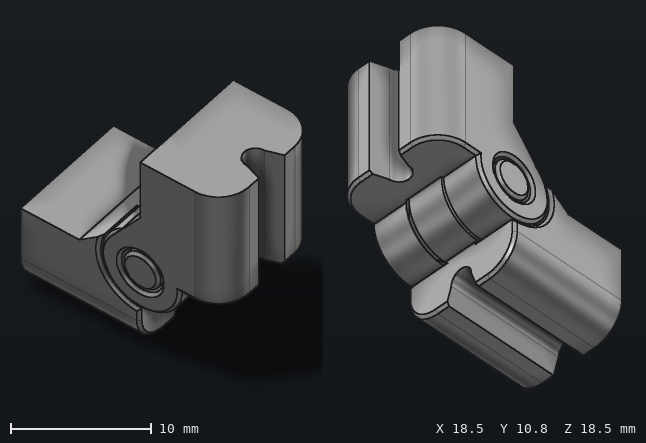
import cadquery as cq
import math


WIDTH = 10.8
LEAF_LENGTH = 10.8
LEAF_THICKNESS = 7.65
AXIS_GAP = 0.05
CORNER_RADIUS = 2.77
EDGE_CHAMFER = 0.25

NOTCH_MOUTH = 2.99
NOTCH_DEPTH = 2.47
NOTCH_RADIUS = 1.0

LOWER_RAMP_START = 5.48
UPPER_RAMP_START = 5.35

PIN_DIAMETER = 3.3
HOLE_DIAMETER = 3.75
PIN_CLEARANCE = (HOLE_DIAMETER - PIN_DIAMETER) / 2

OUTER_KNUCKLE_RADIUS = 3.58
SOCKET_RADIUS = 3.75
CENTER_KNUCKLE_RADIUS = SOCKET_RADIUS - PIN_CLEARANCE
CENTER_RIM_HALF_WIDTH = 1.65
KNUCKLE_FACE_RADIUS = OUTER_KNUCKLE_RADIUS - EDGE_CHAMFER

KNUCKLE_CONE = CENTER_KNUCKLE_RADIUS + CENTER_RIM_HALF_WIDTH
SOCKET_CONE = KNUCKLE_CONE + PIN_CLEARANCE * math.sqrt(2)


def polar(radius, angle):
    return radius * math.cos(angle), radius * math.sin(angle)


def y_cylinder(radius, half_width):
    """Cylinder on the hinge axis, centred on Y = 0."""
    return cq.Workplane("XZ").circle(radius).extrude(half_width, both=True)


def y_revolve(points):
    """Ring on the hinge axis from (radius, y) points, repeated on the -Y side."""
    ring = cq.Workplane("XY").polyline(points).close().revolve(360, (0, 0), (0, 1))
    return ring.union(ring.mirror("XZ"))


def leaf_block():
    """Block with rounded outer corners and a chamfer around its near end."""
    block = (
        cq.Workplane("XY")
        .box(LEAF_LENGTH - AXIS_GAP, WIDTH, LEAF_THICKNESS)
        .translate((-(LEAF_LENGTH + AXIS_GAP) / 2, 0, -LEAF_THICKNESS / 2))
    )
    block = block.edges("|X and <Z").fillet(CORNER_RADIUS)
    near_outline = block.faces(">X").edges("not >Z")
    return near_outline.chamfer(EDGE_CHAMFER)


def cord_notch():
    """Notch that narrows from its mouth to a half-round bottom."""
    bottom_z = NOTCH_DEPTH - LEAF_THICKNESS
    center_z = bottom_z - NOTCH_RADIUS
    return (
        cq.Workplane("YZ")
        .moveTo(-NOTCH_MOUTH / 2, -LEAF_THICKNESS)
        .lineTo(-NOTCH_RADIUS, center_z)
        .threePointArc((0, bottom_z), (NOTCH_RADIUS, center_z))
        .lineTo(NOTCH_MOUTH / 2, -LEAF_THICKNESS)
        .close()
        .extrude(-LEAF_LENGTH)
    )


def ramp(start):
    """Wedge whose sloping side is tangent to the circle of the knuckle's end face."""
    tangent_x, tangent_z = polar(KNUCKLE_FACE_RADIUS, math.acos(KNUCKLE_FACE_RADIUS / start))
    profile = [(-start, 0), (-tangent_x, tangent_z), (0, 0)]
    return cq.Workplane("XZ").polyline(profile).close().extrude(WIDTH / 2, both=True)


def flat_leaf(ramp_start):
    return leaf_block().cut(cord_notch()).union(ramp(ramp_start))


def chamfered_cylinder(radius, half_width, chamfer):
    return y_cylinder(radius, half_width).edges().chamfer(chamfer)


def outer_knuckle_sockets():
    """Room for the outer knuckles: it cones the centre knuckle and flares at the side faces."""
    pin_radius = PIN_DIAMETER / 2
    side = WIDTH / 2
    return y_revolve([
        (0, KNUCKLE_CONE - pin_radius),
        (pin_radius, KNUCKLE_CONE - pin_radius),
        (SOCKET_RADIUS, KNUCKLE_CONE - SOCKET_RADIUS),
        (SOCKET_RADIUS, side - EDGE_CHAMFER),
        (SOCKET_RADIUS + EDGE_CHAMFER, side),
        (0, side),
    ])


def center_knuckle_socket():
    """Room for the centre knuckle, coned down to the pin hole on both sides."""
    hole_radius = HOLE_DIAMETER / 2
    return y_revolve([
        (0, 0),
        (SOCKET_RADIUS, 0),
        (SOCKET_RADIUS, SOCKET_CONE - SOCKET_RADIUS),
        (hole_radius, SOCKET_CONE - hole_radius),
        (0, SOCKET_CONE - hole_radius),
    ])


def pin_hole():
    """Through hole flared at both side faces."""
    radius = HOLE_DIAMETER / 2
    side = WIDTH / 2
    return y_revolve([
        (0, 0),
        (radius, 0),
        (radius, side - EDGE_CHAMFER),
        (radius + EDGE_CHAMFER, side),
        (0, side),
    ])


def make_lower_leaf():
    """Leaf with the centre knuckle and the pin that carries the other leaf."""
    uncut_knuckle = y_cylinder(CENTER_KNUCKLE_RADIUS, KNUCKLE_CONE - PIN_DIAMETER / 2)
    leaf = flat_leaf(LOWER_RAMP_START).union(uncut_knuckle)
    leaf = leaf.cut(outer_knuckle_sockets())
    return leaf.union(chamfered_cylinder(PIN_DIAMETER / 2, WIDTH / 2, EDGE_CHAMFER))


def make_upper_leaf():
    """Leaf with the two outer knuckles, stood upright by swapping -X with +Z."""
    leaf = flat_leaf(UPPER_RAMP_START)
    leaf = leaf.union(chamfered_cylinder(OUTER_KNUCKLE_RADIUS, WIDTH / 2, EDGE_CHAMFER))
    leaf = leaf.cut(center_knuckle_socket()).cut(pin_hole())
    return leaf.rotate((0, 0, 0), (1, 0, -1), 180)


lower_leaf = make_lower_leaf()
upper_leaf = make_upper_leaf()

result = cq.Compound.makeCompound([lower_leaf.val(), upper_leaf.val()])